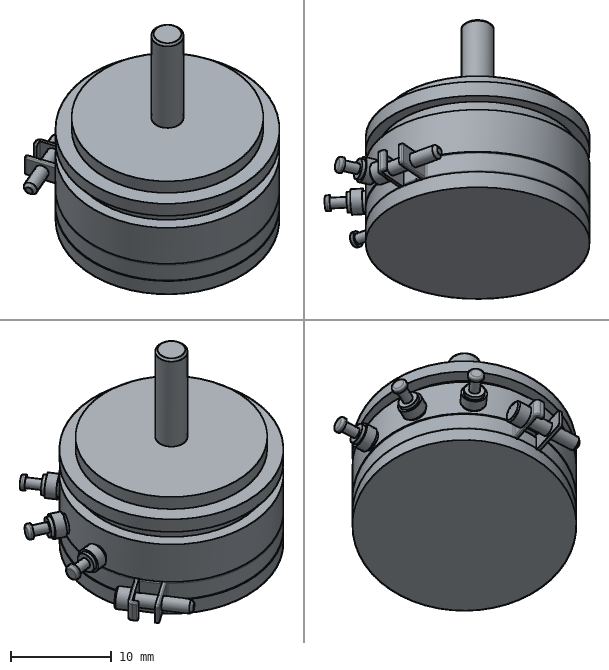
import cadquery as cq
import math

body_radius = 11.12
neck_radius = 9.93
top_radius = 9.5
body_top = 8.88
flange_bottom = 10.5
flange_top = 12.1
housing_top = 13.65

shaft_radius = 1.6
shaft_top = 24.77
shaft_chamfer = 0.25

strap_bottom = 1.77
strap_width = 2.32
strap_thickness = 0.42
strap_top = strap_bottom + strap_width
strap_middle = strap_bottom + strap_width / 2
groove_radius = body_radius - strap_thickness
ear_end = 14.9
ear_outer = 1.6
ear_inner = ear_outer - strap_thickness
hook_end = 0.53
hook_bend_radius = 0.5
hook_inner_radius = hook_bend_radius - strap_thickness
ear_corner_radius = 0.25
elbow_radius = 0.15
strap_edge_fillet = 0.15

key_radius = body_radius - strap_thickness / 2
key_height = 1.85
key_fillet = 0.15

screw_x = -12.95
screw_radius = 0.75
screw_head_radius = 1.15
screw_head_height = 1.5
screw_head_chamfer = 0.15
screw_tip = -4.75
screw_tip_chamfer = 0.35

overall_depth = 26.35
terminal_angles = (90, 120, 150)
terminal_height = 5.48
terminal_root = groove_radius
terminal_tip = overall_depth - body_radius
head_length = 0.53
head_radius = 0.82
head_fillet = 0.26
stem_length = 1.7
stem_radius = 0.55
base_radius = 1.05
base_lip = 0.4
collar_radius = 1.3
collar_length = 1.19
head_start = terminal_tip - head_length
base_end = head_start - stem_length
collar_end = base_end - base_lip
collar_start = collar_end - collar_length


def disk(radius, bottom, top):
    return cq.Workplane("XY").workplane(offset=bottom).circle(radius).extrude(top - bottom)


def strap_block(x_start, x_end, y_start, y_end):
    """A box as tall as the strap."""
    return (
        cq.Workplane("XY")
        .box(x_end - x_start, y_end - y_start, strap_width, centered=False)
        .translate((x_start, y_start, strap_bottom))
    )


def make_terminal(angle):
    def rod(radius, start, end):
        return cq.Workplane("YZ", origin=(start, 0, terminal_height)).circle(radius).extrude(end - start)

    head = rod(head_radius, head_start, terminal_tip).faces(">X").edges().fillet(head_fillet)
    terminal = (
        rod(base_radius, terminal_root, base_end)
        .union(rod(collar_radius, collar_start, collar_end))
        .union(rod(stem_radius, terminal_root, head_start))
        .union(head)
    )
    return terminal.rotate((0, 0, 0), (0, 0, 1), angle)


def make_key():
    bottom = strap_middle - key_height / 2
    key = disk(key_radius, bottom, bottom + key_height).edges().fillet(key_fillet)
    return key.intersect(strap_block(-body_radius, 0, -ear_inner, ear_inner))


def make_housing():
    housing = (
        disk(body_radius, 0, strap_bottom)
        .union(disk(groove_radius, strap_bottom, strap_top))
        .union(disk(body_radius, strap_top, body_top))
        .union(disk(neck_radius, body_top, flange_bottom))
        .union(disk(body_radius, flange_bottom, flange_top))
        .union(disk(top_radius, flange_top, housing_top))
        .union(make_key())
    )
    for angle in terminal_angles:
        housing = housing.union(make_terminal(angle))
    return housing


def make_shaft():
    return disk(shaft_radius, housing_top, shaft_top).faces(">Z").edges().chamfer(shaft_chamfer)


def edges_near(x, y):
    """Selects the edges whose centres lie close to the point (x, y), at any height on the strap."""
    reach = strap_thickness / 2
    margin = 0.26
    return cq.selectors.BoxSelector(
        (x - reach, y - reach, strap_bottom - margin), (x + reach, y + reach, strap_top + margin)
    )


def make_strap(screw):
    ears = strap_block(-ear_end, 0, -ear_outer, ear_outer)
    gap = strap_block(-ear_end, 0, -ear_inner, ear_inner)
    hook = strap_block(-ear_end, -ear_end + strap_thickness, hook_end, ear_inner)
    strap = disk(body_radius, strap_bottom, strap_top).union(ears).cut(gap)
    strap = strap.cut(disk(groove_radius, strap_bottom, strap_top)).union(hook)

    elbow_x = -math.sqrt(body_radius**2 - ear_outer**2)
    bends = (
        (-ear_end, ear_outer, hook_bend_radius),
        (-ear_end + strap_thickness, ear_inner, hook_inner_radius),
        (elbow_x, ear_outer, elbow_radius),
        (elbow_x, -ear_outer, elbow_radius),
    )
    for x, y, radius in bends:
        strap = strap.edges("|Z").edges(edges_near(x, y)).fillet(radius)

    hook_corners = edges_near(-ear_end + strap_thickness / 2, hook_end)
    ear_corners = edges_near(-ear_end, -(ear_outer + ear_inner) / 2)
    strap = strap.edges("|X").edges(hook_corners).fillet(ear_corner_radius)
    strap = strap.edges("|Y").edges(ear_corners).fillet(ear_corner_radius)

    outer_rims = cq.selectors.RadiusNthSelector(-1)
    strap = strap.edges(outer_rims).fillet(strap_edge_fillet)

    return strap.cut(screw)


def make_screw():
    def rod(radius, y_start, y_end):
        return cq.Workplane("XZ", origin=(screw_x, y_end, strap_middle)).circle(radius).extrude(y_end - y_start)

    head = rod(screw_head_radius, ear_outer, ear_outer + screw_head_height)
    head = head.faces(">Y").edges().chamfer(screw_head_chamfer)
    stem = rod(screw_radius, screw_tip, ear_outer).faces("<Y").edges().chamfer(screw_tip_chamfer)
    return head.union(stem)


housing = make_housing()
shaft = make_shaft()
screw = make_screw()
strap = make_strap(screw)

bodies = (housing, shaft, strap, screw)
result = cq.Compound.makeCompound([body.solids().val() for body in bodies])